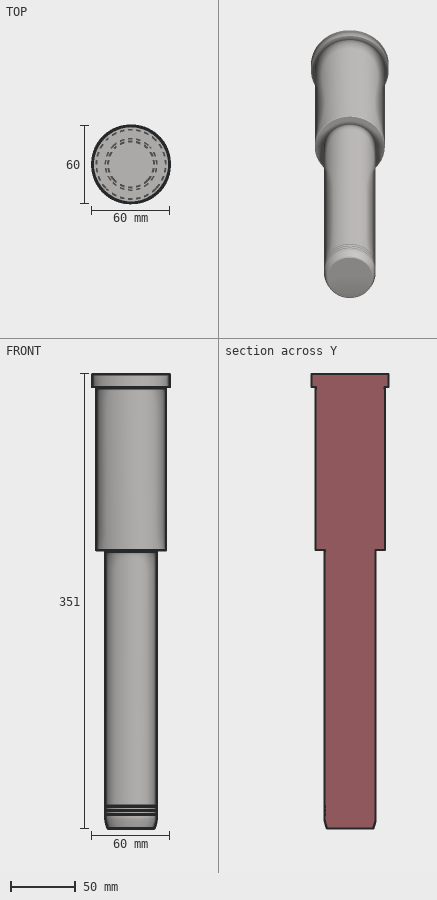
import cadquery as cq

total_length = 351.0
head_diameter = 60.0
head_height = 10.2
body_diameter = 54.0
body_length = 126.0
shaft_diameter = 40.0

groove_count = 3
groove_width = 1.0
groove_depth = 0.5
groove_pitch = 3.0
first_groove_bottom = 10.5

tip_height = 8.0
tip_end_diameter = 35.8
tip_bulge = 0.5

edge_break = 0.53

shaft_radius = shaft_diameter / 2
tip_end_radius = tip_end_diameter / 2
head_bottom = total_length - head_height
body_bottom = head_bottom - body_length


def cylinder(diameter, bottom, height):
    return cq.Workplane("XY").workplane(offset=bottom).circle(diameter / 2).extrude(height)


def rounded_tip():
    middle_radius = (shaft_radius + tip_end_radius) / 2 + tip_bulge
    return (
        cq.Workplane("XZ")
        .lineTo(tip_end_radius, 0)
        .threePointArc((middle_radius, tip_height / 2), (shaft_radius, tip_height))
        .lineTo(0, tip_height)
        .close()
        .revolve(360, (0, 0), (0, 1))
    )


def ring_groove(diameter, bottom):
    outer_diameter = diameter + 2 * groove_depth
    floor_diameter = diameter - 2 * groove_depth
    blank = cylinder(outer_diameter, bottom, groove_width)
    return blank.cut(cylinder(floor_diameter, bottom, groove_width))


tip = rounded_tip().faces("<Z").chamfer(edge_break)
shaft = cylinder(shaft_diameter, tip_height, body_bottom - tip_height)
body = cylinder(body_diameter, body_bottom, body_length).faces("<Z").chamfer(edge_break)
head = cylinder(head_diameter, head_bottom, head_height).faces(">Z").chamfer(edge_break)

result = tip.union(shaft).union(body).union(head)

for index in range(groove_count):
    groove_bottom = first_groove_bottom + index * groove_pitch
    result = result.cut(ring_groove(shaft_diameter, groove_bottom))

result = result.cut(ring_groove(body_diameter, head_bottom - groove_width))
result = result.cut(ring_groove(shaft_diameter, body_bottom - groove_width))